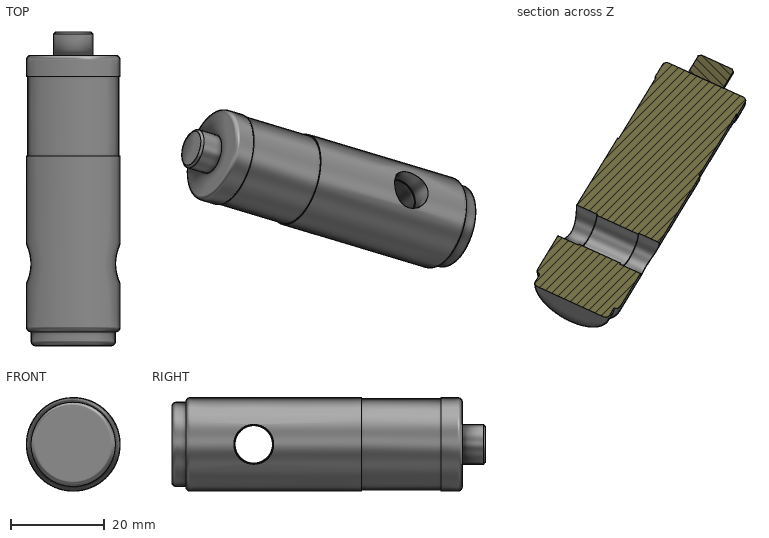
import cadquery as cq
import math

nose_length = 3.0
relief_start = 40.5
relief_end = 57.5
barrel_length = 62.0
overall_length = 67.0

barrel_diameter = 20.0
relief_diameter = 19.5
tail_diameter = 8.5

edge_radius = 1.0
tail_chamfer = 0.5
nose_diameter = barrel_diameter - 2 * edge_radius

cross_hole_station = 17.5
cross_hole_diameter = 8.0
counterbore_diameter = 8.5
central_bore_length = 10.0


def make_turned_barrel():
    """Solid of revolution: rounded nose, rounded barrel and shallow relief."""
    barrel_radius = barrel_diameter / 2
    relief_radius = relief_diameter / 2
    nose_radius = nose_diameter / 2
    arc_depth = edge_radius * (1 - math.cos(math.radians(45)))

    profile = (
        cq.Workplane("XY")
        .moveTo(0, 0)
        .lineTo(nose_radius - edge_radius, 0)
        .threePointArc((nose_radius - arc_depth, arc_depth), (nose_radius, edge_radius))
        .lineTo(nose_radius, nose_length)
        .threePointArc(
            (barrel_radius - arc_depth, nose_length + arc_depth),
            (barrel_radius, nose_length + edge_radius),
        )
        .lineTo(barrel_radius, relief_start)
        .lineTo(relief_radius, relief_start)
        .lineTo(relief_radius, relief_end)
        .lineTo(barrel_radius, relief_end)
        .lineTo(barrel_radius, barrel_length - edge_radius)
        .threePointArc(
            (barrel_radius - arc_depth, barrel_length - arc_depth),
            (barrel_radius - edge_radius, barrel_length),
        )
        .lineTo(0, barrel_length)
        .close()
    )
    return profile.revolve(360, (0, 0, 0), (0, 1, 0))


def make_cross_hole():
    """Cutter for the cross hole and its two counterbores."""
    cutter_length = barrel_diameter
    counterbore_depth = (cutter_length - central_bore_length) / 2
    cutter = (
        cq.Workplane("YZ", origin=(-cutter_length / 2, cross_hole_station, 0))
        .circle(cross_hole_diameter / 2)
        .extrude(cutter_length)
    )
    for counterbore_start in (-cutter_length / 2, central_bore_length / 2):
        counterbore = (
            cq.Workplane("YZ", origin=(counterbore_start, cross_hole_station, 0))
            .circle(counterbore_diameter / 2)
            .extrude(counterbore_depth)
        )
        cutter = cutter.union(counterbore)
    return cutter


def make_barrel():
    """Turned barrel pierced by the cross hole."""
    return make_turned_barrel().cut(make_cross_hole())


def make_tail_pin():
    """Pin seated on the rear face of the barrel, chamfered at its free end."""
    pin = (
        cq.Workplane("XZ", origin=(0, overall_length, 0))
        .circle(tail_diameter / 2)
        .extrude(overall_length - barrel_length)
    )
    return pin.faces(">Y").edges().chamfer(tail_chamfer)


barrel = make_barrel()
tail_pin = make_tail_pin()

result = cq.Compound.makeCompound([barrel.val(), tail_pin.val()])